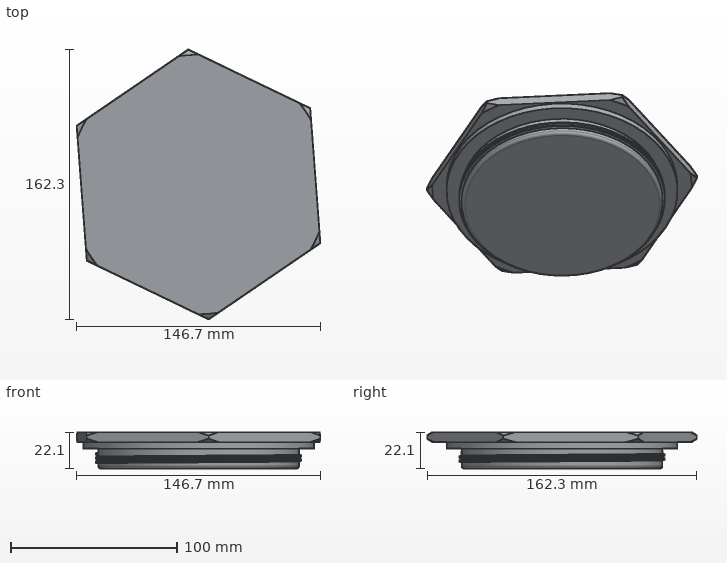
import cadquery as cq

head_corner_span = 162.8
head_thickness = 6.0
head_turn = 94.3
corner_chamfer_width = 3.4
corner_chamfer_height = 2.1

collar_diameter = 139.0
collar_thickness = 3.9
shank_diameter = 121.0
shank_length = 12.2
shank_end_fillet = 2.0

thread_diameter = 123.9
thread_pitch = 2.5
thread_turns = 2.2
thread_start_height = 3.5
thread_start_angle = 109
thread_root_width = 2.0
thread_crest_width = 0.8
thread_embed = 0.3

shank_radius = shank_diameter / 2
collar_bottom = shank_length
head_bottom = collar_bottom + collar_thickness
head_top = head_bottom + head_thickness


def make_head():
    """Hexagonal plate with its corners turned down from both faces."""
    hexagon = (
        cq.Workplane("XY")
        .polygon(6, head_corner_span)
        .extrude(head_thickness)
        .rotate((0, 0, 0), (0, 0, 1), head_turn)
        .translate((0, 0, head_bottom))
    )
    corner_radius = head_corner_span / 2
    face_radius = corner_radius - corner_chamfer_width
    chamfered_disc = (
        cq.Workplane("XZ")
        .moveTo(0, head_bottom)
        .lineTo(face_radius, head_bottom)
        .lineTo(corner_radius, head_bottom + corner_chamfer_height)
        .lineTo(corner_radius, head_top - corner_chamfer_height)
        .lineTo(face_radius, head_top)
        .lineTo(0, head_top)
        .close()
        .revolve(360, (0, 0, 0), (0, 1, 0))
    )
    return hexagon.intersect(chamfered_disc)


def make_collar():
    collar = cq.Workplane("XY").workplane(offset=collar_bottom)
    return collar.circle(collar_diameter / 2).extrude(collar_thickness)


def make_shank():
    """Solid cylinder with its free end rounded."""
    cylinder = cq.Workplane("XY").circle(shank_radius).extrude(shank_length)
    return cylinder.faces("<Z").edges().fillet(shank_end_fillet)


def make_thread():
    """Trapezoidal ridge swept along a helix."""
    root_radius = shank_radius - thread_embed
    crest_radius = thread_diameter / 2
    helix = cq.Wire.makeHelix(thread_pitch, thread_pitch * thread_turns, shank_radius)
    ridge = (
        cq.Workplane("XZ")
        .moveTo(root_radius, -thread_root_width / 2)
        .lineTo(crest_radius, -thread_crest_width / 2)
        .lineTo(crest_radius, thread_crest_width / 2)
        .lineTo(root_radius, thread_root_width / 2)
        .close()
        .sweep(cq.Workplane(helix), isFrenet=True)
    )
    return ridge.rotate((0, 0, 0), (0, 0, 1), thread_start_angle).translate((0, 0, thread_start_height))


result = make_shank().union(make_thread()).union(make_collar()).union(make_head())